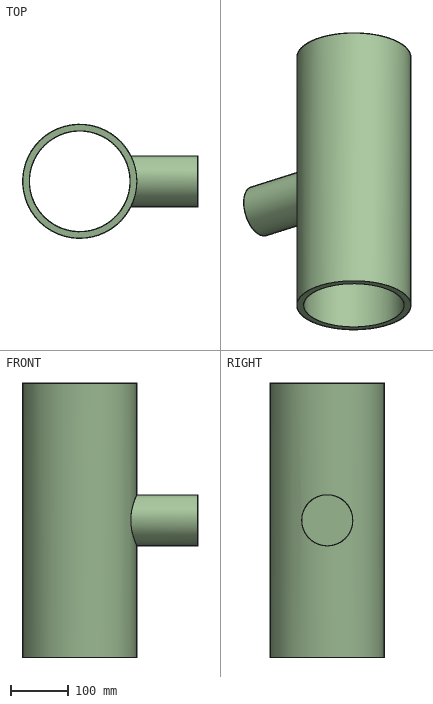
import cadquery as cq

pipe_length = 481.0
pipe_diameter = 200.0
wall_thickness = 12.0
bore_diameter = pipe_diameter - 2 * wall_thickness

branch_diameter = 89.5
overall_width = 307.0
branch_reach = overall_width - pipe_diameter / 2


def upright_cylinder(diameter):
    """Cylinder along Z with the full pipe length."""
    return cq.Workplane("XY").circle(diameter / 2).extrude(pipe_length / 2, both=True)


def side_branch():
    """Cylinder from the pipe axis out to the branch end."""
    return cq.Workplane("YZ").circle(branch_diameter / 2).extrude(branch_reach)


result = upright_cylinder(pipe_diameter).union(side_branch()).cut(upright_cylinder(bore_diameter))